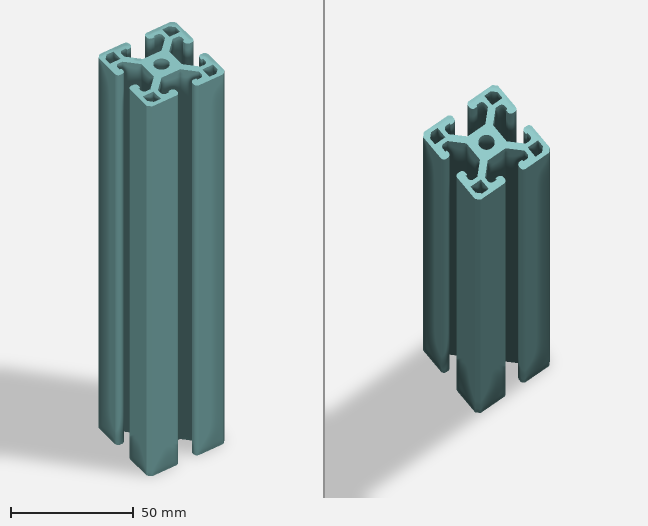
import cadquery as cq
import math

length = 203.2
width = 38.2
outer_corner_chamfer = 1.6
wall = 1.89
bore_diameter = 6.7
core_width = 13.6
web_offset = 2.2

slot_opening = 8.0
slot_inner_width = 20.1
lip_depth = 4.0
lip_relief = 0.8
lip_nib_width = 2.8
lip_radius = 1.6
slot_corner_radius = 1.6

hollow_corner_chamfer = 1.93

half_width = width / 2
half_opening = slot_opening / 2
half_slot = slot_inner_width / 2
half_core = core_width / 2
lip_bottom = half_width - lip_depth
slot_roof = lip_bottom + lip_relief
nib_end = half_opening + lip_nib_width
hollow_near = half_slot + wall
hollow_far = half_width - wall
hollow_size = hollow_far - hollow_near
hollow_centre = (hollow_near + hollow_far) / 2
arc_mid_inset = 1 - math.sqrt(0.5)


def prism(sketch):
    """Extrude a closed sketch over the full length."""
    return sketch.extrude(length)


def slot_half():
    """Right half of the T-slot in the +Y face, open along the plane X = 0."""
    r_lip = lip_radius
    r_slot = slot_corner_radius
    lip = arc_mid_inset * r_lip
    corner = arc_mid_inset * r_slot
    outline = (
        cq.Workplane("XY")
        .moveTo(0, half_core)
        .lineTo(half_core - web_offset, half_core)
        .lineTo(half_slot, half_slot + web_offset)
        .lineTo(half_slot, slot_roof - r_slot)
        .threePointArc((half_slot - corner, slot_roof - corner), (half_slot - r_slot, slot_roof))
        .lineTo(nib_end, slot_roof)
        .lineTo(nib_end, lip_bottom)
        .lineTo(half_opening + r_lip, lip_bottom)
        .threePointArc((half_opening + lip, lip_bottom + lip), (half_opening, lip_bottom + r_lip))
        .lineTo(half_opening, half_width - r_lip)
        .threePointArc((half_opening + lip, half_width - lip), (half_opening + r_lip, half_width))
        .lineTo(0, half_width)
        .close()
    )
    return prism(outline)


def t_slot():
    """Complete T-slot in the +Y face."""
    right = slot_half()
    return right.union(right.mirror("YZ"))


def corner_hollow():
    """Square hollow in the +X +Y corner, chamfered on its outermost edge."""
    hollow = prism(cq.Workplane("XY").center(hollow_centre, hollow_centre).rect(hollow_size, hollow_size))
    return hollow.edges("|Z").edges(">(1, 1, 0)").chamfer(hollow_corner_chamfer)


result = prism(cq.Workplane("XY").rect(width, width)).edges("|Z").chamfer(outer_corner_chamfer)
result = result.cut(prism(cq.Workplane("XY").circle(bore_diameter / 2)))

slot = t_slot()
hollow = corner_hollow()
for angle in (0, 90, 180, 270):
    result = result.cut(slot.rotate((0, 0, 0), (0, 0, 1), angle))
    result = result.cut(hollow.rotate((0, 0, 0), (0, 0, 1), angle))